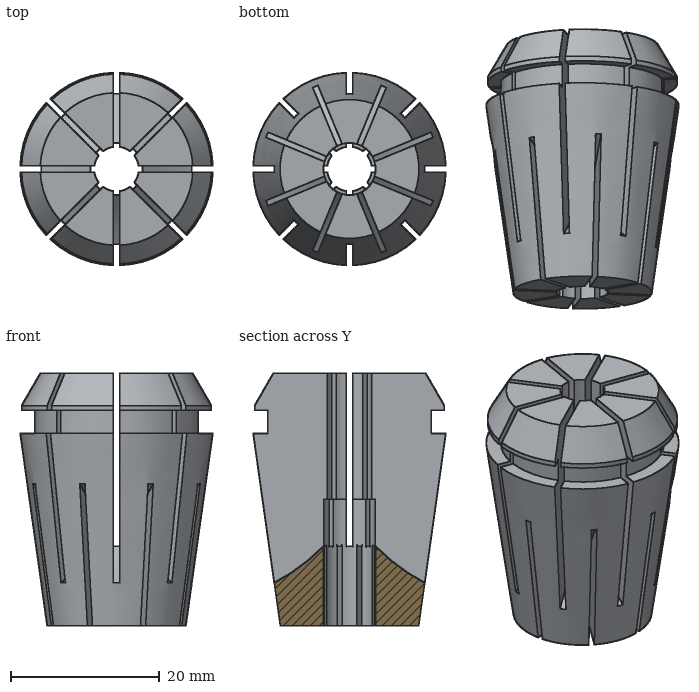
import cadquery as cq
import math

total_height = 34.0
body_radius = 13.0
body_height = 25.9
body_taper = 8.0
groove_radius = 11.0
collar_bottom = 29.0
collar_height = 0.65
collar_radius = 12.8
head_taper = 30.0

bore_radius = 3.0
relief_radius = 3.5
relief_depth = 17.0

slots_per_end = 8
upper_slot_width = 0.8
lower_slot_width = 0.75
upper_slot_end = 5.78
lower_slot_end = 19.1
slot_inner_end = 10.7
saw_radius = 26.52
clearance = 1.7


def taper_radius(height):
    """Radius of the long taper at a given height."""
    return body_radius - (body_height - height) * math.tan(math.radians(body_taper))


def make_body():
    collar_top = collar_bottom + collar_height
    head_height = total_height - collar_top
    top_radius = collar_radius - head_height * math.tan(math.radians(head_taper))
    return (
        cq.Workplane("XZ")
        .lineTo(taper_radius(0), 0)
        .lineTo(body_radius, body_height)
        .lineTo(groove_radius, body_height)
        .lineTo(groove_radius, collar_bottom)
        .lineTo(collar_radius, collar_bottom)
        .lineTo(collar_radius, collar_top)
        .lineTo(top_radius, total_height)
        .lineTo(0, total_height)
        .close()
        .revolve(360, (0, 0, 0), (0, 1, 0))
    )


def make_bore():
    bore = cq.Workplane("XY").circle(bore_radius).extrude(total_height)
    relief = cq.Workplane("XY").circle(relief_radius).extrude(relief_depth)
    return bore.union(relief)


def make_slot(end_height, open_height, width):
    """Cutter from the axis out along +X, between its curved end and its open side."""
    direction = math.copysign(1, open_height - end_height)
    outer_radius = taper_radius(end_height)
    far_radius = body_radius + clearance
    far_height = open_height + direction * clearance

    run = outer_radius - relief_radius
    rise = abs(slot_inner_end - end_height)
    chord = math.hypot(run, rise)
    bow = saw_radius - math.sqrt(saw_radius**2 - (chord / 2) ** 2)
    bow_point = (
        (relief_radius + outer_radius) / 2 - bow * rise / chord,
        (slot_inner_end + end_height) / 2 - direction * bow * run / chord,
    )
    return (
        cq.Workplane("XZ")
        .moveTo(0, far_height)
        .lineTo(0, slot_inner_end)
        .lineTo(relief_radius, slot_inner_end)
        .threePointArc(bow_point, (outer_radius, end_height))
        .lineTo(far_radius, end_height)
        .lineTo(far_radius, far_height)
        .close()
        .extrude(width / 2, both=True)
    )


result = make_body().cut(make_bore())

slot_pitch = 360 / slots_per_end
upper_slot = make_slot(upper_slot_end, total_height, upper_slot_width)
lower_slot = make_slot(lower_slot_end, 0, lower_slot_width)
axis_start = (0, 0, 0)
axis_end = (0, 0, 1)
for index in range(slots_per_end):
    upper_angle = index * slot_pitch
    lower_angle = upper_angle + slot_pitch / 2
    result = result.cut(upper_slot.rotate(axis_start, axis_end, upper_angle))
    result = result.cut(lower_slot.rotate(axis_start, axis_end, lower_angle))